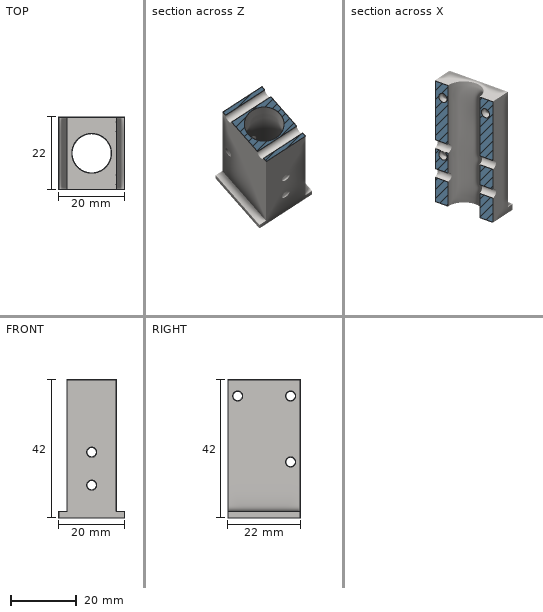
import cadquery as cq

height = 42.0
depth = 22.0
flange_width = 20.0
flange_thickness = 2.0
body_width = 15.0

bore_diameter = 11.9
hole_diameter = 2.9
front_hole_heights = (10.0, 20.0)
side_hole_edge_distance = 3.0
upper_hole_drop = 5.0
side_hole_spacing = 20.0

side_hole_y = depth / 2 - side_hole_edge_distance
upper_hole_z = height - upper_hole_drop
lower_hole_z = upper_hole_z - side_hole_spacing
side_hole_positions = [
    (side_hole_y, upper_hole_z),
    (-side_hole_y, upper_hole_z),
    (side_hole_y, lower_hole_z),
]


def make_block():
    """Upright body standing on a flange that projects on both X sides."""
    on_base = (True, True, False)
    body = cq.Workplane("XY").box(body_width, depth, height, centered=on_base)
    flange = cq.Workplane("XY").box(flange_width, depth, flange_thickness, centered=on_base)
    return body.union(flange)


def make_bore():
    """Central bore through the full height."""
    return cq.Workplane("XY").circle(bore_diameter / 2).extrude(height)


def make_front_holes():
    """Holes along Y, crossing the bore."""
    centers = [(0, z) for z in front_hole_heights]
    holes = cq.Workplane("XZ").pushPoints(centers).circle(hole_diameter / 2)
    return holes.extrude(depth / 2, both=True)


def make_side_holes():
    """Holes along X, passing beside the bore."""
    holes = cq.Workplane("YZ").pushPoints(side_hole_positions).circle(hole_diameter / 2)
    return holes.extrude(body_width / 2, both=True)


result = make_block().cut(make_bore()).cut(make_front_holes()).cut(make_side_holes())